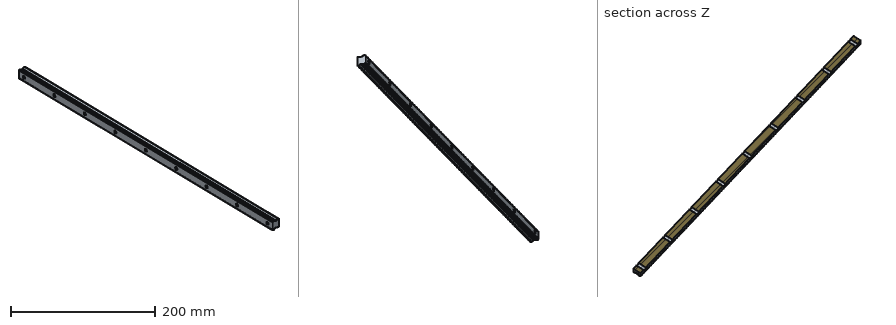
import cadquery as cq

length = 500.0
height = 13.0
width = 15.0

base_chamfer = 0.6
base_flat_end = -4.3
waist_start = -1.7
waist_end = 0.8
waist_width = 12.0
head_flat_start = 4.2
head_flat_end = 5.05
head_face_width = 11.8

hole_diameter = 4.5
hole_pitch = 60.0
hole_count = 9


def section_points():
    """Outline in (Y, Z), symmetric about Z = 0."""
    base_y = -height / 2
    head_y = height / 2
    half_width = width / 2
    half_waist = waist_width / 2
    upper_half = [
        (base_y, half_width - base_chamfer),
        (base_y + base_chamfer, half_width),
        (base_flat_end, half_width),
        (waist_start, half_waist),
        (waist_end, half_waist),
        (head_flat_start, half_width),
        (head_flat_end, half_width),
        (head_y, head_face_width / 2),
    ]
    lower_half = [(y, -z) for y, z in reversed(upper_half)]
    return upper_half + lower_half


def make_rail():
    """Section extruded along X, centred on the origin."""
    start = cq.Workplane("YZ").workplane(offset=-length / 2)
    return start.polyline(section_points()).close().extrude(length)


def make_holes():
    """Row of evenly spaced through-hole cylinders, centred along the rail."""
    row = cq.Workplane("XZ").rarray(hole_pitch, 1, hole_count, 1)
    return row.circle(hole_diameter / 2).extrude(height, both=True)


result = make_rail().cut(make_holes())